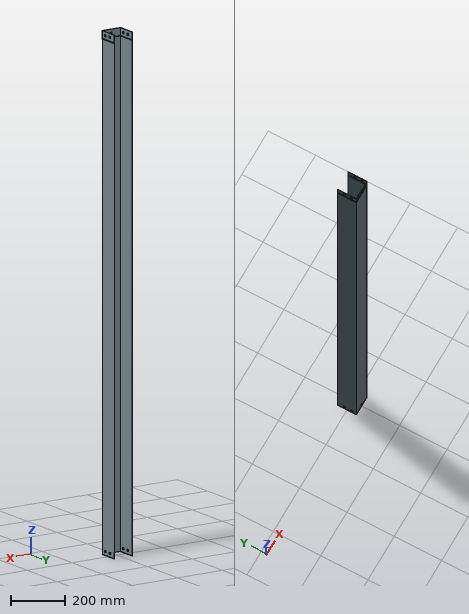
import cadquery as cq

sheet = 0.7
body_width = 80.0
body_depth = 80.0
length = 1999.0
socket_length = 32.0
step_overlap = 2.0
hole_diameter = 7.0
square_hole_side = 7.0
slot_length = 10.0
slot_width = 7.0
end_distance = 15.0
first_side_opening = 20.0
side_opening_pitch = 30.0

body_length = length - socket_length
socket_width = body_width + 2 * sheet
socket_depth = body_depth + sheet
socket_front = -socket_depth / 2
body_front = socket_front + sheet
back = socket_depth / 2
bottom_opening_height = end_distance
top_opening_height = length - end_distance
first_opening_y = body_front + first_side_opening
side_opening_places = (first_opening_y, first_opening_y + side_opening_pitch)


def channel(width, front, bottom, height):
    """U-shaped channel, open towards +Y, with the outer face of its web at Y = front."""
    half_width = width / 2
    inner_half_width = half_width - sheet
    outline = [
        (-half_width, back),
        (-half_width, front),
        (half_width, front),
        (half_width, back),
        (inner_half_width, back),
        (inner_half_width, front + sheet),
        (-inner_half_width, front + sheet),
        (-inner_half_width, back),
    ]
    return cq.Workplane("XY", origin=(0, 0, bottom)).polyline(outline).close().extrude(height)


def web_hole(height):
    """Cutter for the round hole in the middle of the web."""
    plane = cq.Workplane("XZ", origin=(0, 0, height))
    return plane.circle(hole_diameter / 2).extrude(socket_depth)


def side_plane(place, height):
    """Plane on the middle of the channel, facing the side walls."""
    return cq.Workplane("YZ", origin=(0, place, height))


def square_hole(place):
    """Cutter for a square hole through both side walls of the socket."""
    profile = side_plane(place, top_opening_height).rect(square_hole_side, square_hole_side)
    return profile.extrude(socket_width, both=True)


def slot(place):
    """Cutter for a round-ended slot through both side walls at the plain end."""
    profile = side_plane(place, bottom_opening_height).slot2D(slot_length, slot_width)
    return profile.extrude(socket_width, both=True)


body = channel(body_width, body_front, 0, body_length + step_overlap)
socket = channel(socket_width, socket_front, body_length, socket_length)
result = body.union(socket)

for height in (bottom_opening_height, top_opening_height):
    result = result.cut(web_hole(height))

for place in side_opening_places:
    result = result.cut(slot(place))
    result = result.cut(square_hole(place))